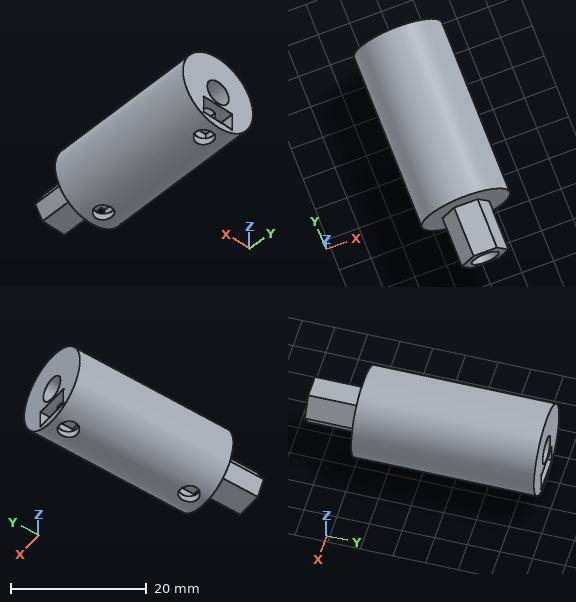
import cadquery as cq
import math

total_length = 36.0
stem_length = 8.0
body_diameter = 14.0
bore_diameter = 4.3
hex_across_flats = 6.4

screw_diameter = 3.2
pocket_width = 5.75
pocket_top = -2.55
pocket_bottom = -5.7
screw_inset = 3.0

body_length = total_length - stem_length
body_radius = body_diameter / 2
hex_across_corners = hex_across_flats / math.cos(math.pi / 6)
pocket_height = pocket_top - pocket_bottom
pocket_depth = screw_inset + pocket_width / 2


def along_y(start):
    """Workplane facing -Y at the given position, centred on the axis."""
    return cq.Workplane("XZ", origin=(0, start, 0))


def pocket(start, length):
    """Rectangular channel below the axis, running in +Y from start."""
    return cq.Workplane("XY").box(
        pocket_width, length, pocket_height, centered=(True, False, False)
    ).translate((0, start, pocket_bottom))


body = along_y(body_length).circle(body_radius).extrude(body_length)
stem = along_y(0).polygon(6, hex_across_corners).extrude(stem_length)
result = body.union(stem)

result = result.cut(pocket(-stem_length, stem_length + pocket_depth))
result = result.cut(pocket(body_length - pocket_depth, pocket_depth))

result = result.cut(along_y(body_length).circle(bore_diameter / 2).extrude(total_length))

for screw_y in (screw_inset, body_length - screw_inset):
    screw_hole = (
        cq.Workplane("XY", origin=(0, screw_y, -body_radius))
        .circle(screw_diameter / 2)
        .extrude(body_radius)
    )
    result = result.cut(screw_hole)